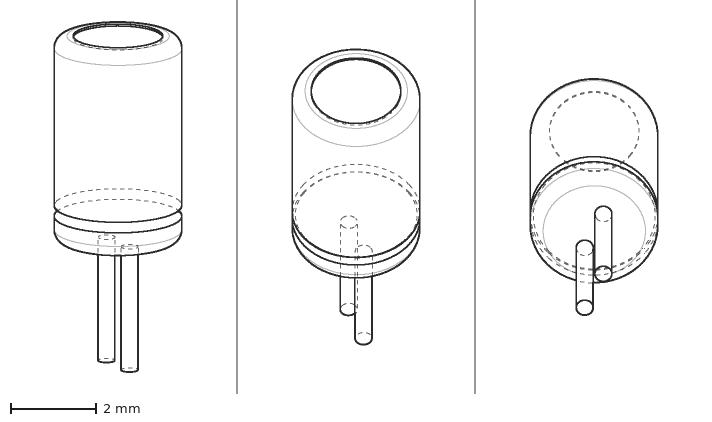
import cadquery as cq

total_height = 8
body_diameter = 3.0
lead_length = 3.0
lead_diameter = 0.4
lead_pitch = 1.0
edge_radius = 0.3

groove_bottom = lead_length + 0.62
groove_height = 0.26
groove_depth = 0.07

recess_diameter = 0.7 * body_diameter
recess_depth = 0.05

body_radius = body_diameter / 2


def make_can():
    """Revolve the can profile, with rounded ends and an arc-shaped groove."""
    groove_top = groove_bottom + groove_height
    groove_middle = groove_bottom + groove_height / 2
    profile = (
        cq.Workplane("XZ")
        .moveTo(0, lead_length)
        .lineTo(body_radius - edge_radius, lead_length)
        .tangentArcPoint((body_radius, lead_length + edge_radius), relative=False)
        .lineTo(body_radius, groove_bottom)
        .threePointArc((body_radius - groove_depth, groove_middle), (body_radius, groove_top))
        .lineTo(body_radius, total_height - edge_radius)
        .tangentArcPoint((body_radius - edge_radius, total_height), relative=False)
        .lineTo(0, total_height)
        .close()
    )
    return profile.revolve(360, (0, 0, 0), (0, 1, 0))


def make_top_recess():
    return (
        cq.Workplane("XY", origin=(0, 0, total_height - recess_depth))
        .circle(recess_diameter / 2)
        .extrude(recess_depth)
    )


def make_leads():
    return (
        cq.Workplane("XY")
        .pushPoints([(-lead_pitch / 2, 0), (lead_pitch / 2, 0)])
        .circle(lead_diameter / 2)
        .extrude(lead_length)
    )


result = make_can().cut(make_top_recess()).union(make_leads())